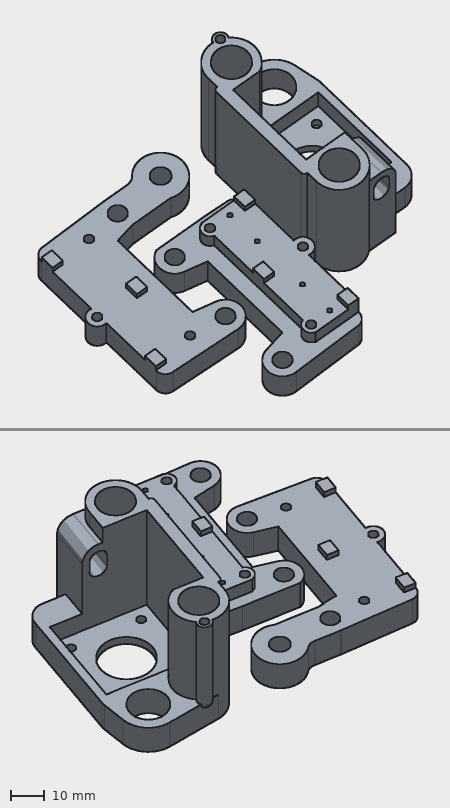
import cadquery as cq
import math

plate_thickness = 10.0
column_half_pitch = 24.5
pivot_offset_x = -2.0
pivot_offset_y = 18.45

carriage_height = 42.0
column_y = -10.5
column_radius = 9.0
column_bore_diameter = 12.2
pivot_boss_radius = 10.0
pivot_bore_diameter = 13.0
base_rear_y = 19.5
base_right_x = 26.3
base_corner_radius = 6.0
base_rear_left_x = -19.0
pad_half_width = 20.5
pad_front_y = -20.9
motor_pocket_size = 33.2
motor_floor_thickness = 3.0
motor_shaft_hole_diameter = 18.0
motor_screw_pitch = 24.0
motor_screw_diameter = 3.0
sleeve_x = -33.0
sleeve_y = -7.5
sleeve_radius = 2.5
sleeve_bore_diameter = 3.0
sleeve_bore_depth = 30.0
flange_right_x = 31.5
flange_radius = 5.5
flange_top_z = 36.0
slot_width = 6.0
slot_bottom_z = 23.0
slot_top_z = 33.0

leg_radius = 6.0
leg_hole_diameter = 6.0
bridge_y = 6.4
bridge_half_width = 17.0
plate_edge_y = 28.4
plate_edge_half_width = 29.6
plate_corner_radius = 3.5
lug_y = 29.0
lug_radius = 3.5
screw_half_pitch = 23.0
screw_y = 12.5
screw_hole_diameter = 3.1
tab_length = 5.0
tab_width = 4.0
tab_height = 2.0
seat_half_width = 26.0
seat_inner_y = 11.65

upper_plate_x = 25.5
upper_plate_y = -54.5
seat_height = 5.0
seat_boss_radius = 3.0
small_hole_y = 20.0
small_hole_depth = 5.0
outer_small_hole_x = 22.7
outer_small_hole_diameter = 1.6
inner_small_hole_x = 10.3
inner_small_hole_diameter = 1.5
relief_x = -29.95

lower_plate_x = 2.5
lower_plate_y = -57.0
pivot_eye_radius = 8.5
pivot_eye_hole_diameter = 6.5
eye_neck_radius = 4.0


def box(x_min, x_max, y_min, y_max, z_min, z_max):
    """Block between the given limits."""
    return (
        cq.Workplane("XY", origin=(x_min, y_min, z_min))
        .box(x_max - x_min, y_max - y_min, z_max - z_min, centered=False)
    )


def cylinder(x, y, radius, z_min, z_max):
    """Upright cylinder."""
    return cq.Workplane("XY", origin=(x, y, z_min)).circle(radius).extrude(z_max - z_min)


def web(first, first_radius, second, second_radius, height):
    """Two upright discs joined along their outer tangents."""
    dx = second[0] - first[0]
    dy = second[1] - first[1]
    along = math.atan2(dy, dx)
    spread = math.acos((first_radius - second_radius) / math.hypot(dx, dy))

    def rim(centre, radius, angle):
        return (centre[0] + radius * math.cos(angle), centre[1] + radius * math.sin(angle))

    body = (
        cq.Workplane("XY")
        .polyline([
            rim(first, first_radius, along + spread),
            rim(first, first_radius, along - spread),
            rim(second, second_radius, along - spread),
            rim(second, second_radius, along + spread),
        ])
        .close()
        .extrude(height)
    )
    for centre, radius in ((first, first_radius), (second, second_radius)):
        body = body.union(cylinder(*centre, radius, 0, height))
    return body


def tangent_point(point, centre, radius, side):
    """Where the tangent from a point touches a circle; side +1 or -1 picks which tangent."""
    dx = point[0] - centre[0]
    dy = point[1] - centre[1]
    angle = math.atan2(dy, dx) + side * math.acos(radius / math.hypot(dx, dy))
    return (centre[0] + radius * math.cos(angle), centre[1] + radius * math.sin(angle))


pivot = (-column_half_pitch + pivot_offset_x, column_y + pivot_offset_y)
left_column = (-column_half_pitch, column_y)
right_column = (column_half_pitch, column_y)
pocket_half = motor_pocket_size / 2
column_front_y = column_y - column_radius


def carriage_base():
    """Thick floor that reaches around the pivot bore."""
    rear_left = (base_rear_left_x, base_rear_y - base_corner_radius)
    floor = (
        box(base_rear_left_x, base_right_x, column_y, base_rear_y, 0, plate_thickness)
        .edges("|Z and >X and >Y")
        .fillet(base_corner_radius)
    )
    infill = (
        cq.Workplane("XY")
        .polyline([pivot, left_column, (base_rear_left_x, column_y), rear_left])
        .close()
        .extrude(plate_thickness)
    )
    return (
        floor.union(infill)
        .union(web(pivot, pivot_boss_radius, left_column, column_radius, plate_thickness))
        .union(web(pivot, pivot_boss_radius, rear_left, base_corner_radius, plate_thickness))
    )


def carriage_columns():
    """Both guide columns and the wall that joins them."""
    wall = box(-column_half_pitch, column_half_pitch, column_front_y, column_y, 0, carriage_height)
    right_block = box(
        pocket_half, column_half_pitch, column_y, column_y + column_radius, 0, carriage_height
    )
    pad = (
        box(-pad_half_width, pad_half_width, pad_front_y, column_y, 0, carriage_height)
        .edges("|Z and <Y")
        .fillet(column_front_y - pad_front_y)
    )
    columns = wall.union(right_block).union(pad)
    for centre in (left_column, right_column):
        columns = columns.union(cylinder(*centre, column_radius, 0, carriage_height))
    return columns


def slotted_flange():
    """Upright block with a rounded rear top edge, before its slot is cut."""
    return (
        box(pocket_half, flange_right_x, column_y, flange_radius, 0, flange_top_z)
        .edges("|X and >Y and >Z")
        .fillet(flange_radius)
    )


def flange_slot():
    """Cutter for the upright slot, on the motor axis plane."""
    return (
        cq.Workplane("YZ", origin=(pocket_half, 0, (slot_bottom_z + slot_top_z) / 2))
        .slot2D(slot_top_z - slot_bottom_z, slot_width, 90)
        .extrude(flange_right_x - pocket_half)
    )


def sleeve():
    """Sleeve beside the left column, with a round lower end."""
    tube = cylinder(sleeve_x, sleeve_y, sleeve_radius, plate_thickness, carriage_height)
    tip = cq.Workplane("XY", origin=(sleeve_x, sleeve_y, plate_thickness)).sphere(sleeve_radius)
    return tube.union(tip)


def motor_carriage():
    """Carriage with its motor pocket, bores and slot."""
    body = carriage_base().union(carriage_columns()).union(slotted_flange()).union(sleeve())
    body = body.cut(box(
        -pocket_half, pocket_half, -pocket_half, pocket_half, motor_floor_thickness, carriage_height
    ))
    body = body.cut(cylinder(0, 0, motor_shaft_hole_diameter / 2, 0, motor_floor_thickness))
    screw_offset = motor_screw_pitch / 2
    for x in (-screw_offset, screw_offset):
        for y in (-screw_offset, screw_offset):
            body = body.cut(cylinder(x, y, motor_screw_diameter / 2, 0, motor_floor_thickness))
    for centre in (left_column, right_column):
        body = body.cut(cylinder(*centre, column_bore_diameter / 2, 0, carriage_height))
    body = body.cut(cylinder(*pivot, pivot_bore_diameter / 2, 0, plate_thickness))
    body = body.cut(cylinder(
        sleeve_x, sleeve_y, sleeve_bore_diameter / 2,
        carriage_height - sleeve_bore_depth, carriage_height,
    ))
    return body.cut(flange_slot())


def clamp_plate():
    """Plate with two legs, without lug or holes."""
    leg = (column_half_pitch, 0)
    edge_corner = (plate_edge_half_width, plate_edge_y)
    bridge_corner = (bridge_half_width, bridge_y)
    outer_touch = tangent_point(edge_corner, leg, leg_radius, -1)
    inner_touch = tangent_point(bridge_corner, leg, leg_radius, 1)
    leg_tip = (column_half_pitch, -leg_radius)

    def mirrored(point):
        return (-point[0], point[1])

    return (
        cq.Workplane("XY")
        .moveTo(*edge_corner)
        .lineTo(*outer_touch)
        .threePointArc(leg_tip, inner_touch)
        .lineTo(*bridge_corner)
        .lineTo(*mirrored(bridge_corner))
        .lineTo(*mirrored(inner_touch))
        .threePointArc(mirrored(leg_tip), mirrored(outer_touch))
        .lineTo(*mirrored(edge_corner))
        .close()
        .extrude(plate_thickness)
        .edges("|Z and >Y")
        .fillet(plate_corner_radius)
    )


def tabs(seat_z):
    """Three locating tabs standing on the seat."""
    top_z = seat_z + tab_height
    edge_start = plate_edge_y - tab_width
    corner_start = seat_half_width - tab_length
    half_length = tab_length / 2
    middle = box(-half_length, half_length, seat_inner_y, seat_inner_y + tab_width, seat_z, top_z)
    left = box(-seat_half_width, -corner_start, edge_start, plate_edge_y, seat_z, top_z)
    right = box(corner_start, seat_half_width, edge_start, plate_edge_y, seat_z, top_z)
    return middle, left, right


def drill_clamp_holes(body, top_z):
    """Leg holes and the triangle of screw holes."""
    screws = ((-screw_half_pitch, screw_y), (screw_half_pitch, screw_y), (0, lug_y))
    for x in (-column_half_pitch, column_half_pitch):
        body = body.cut(cylinder(x, 0, leg_hole_diameter / 2, 0, plate_thickness))
    for x, y in screws:
        body = body.cut(cylinder(x, y, screw_hole_diameter / 2, 0, top_z))
    return body


def upper_plate():
    """Clamp plate with a raised seat."""
    seat_z = plate_thickness + seat_height
    body = clamp_plate().cut(
        box(relief_x - leg_radius, relief_x, -leg_radius, plate_edge_y, 0, plate_thickness)
    )
    body = body.union(box(
        -seat_half_width, seat_half_width, seat_inner_y, plate_edge_y, plate_thickness, seat_z
    ))
    body = body.union(cylinder(0, lug_y, lug_radius, 0, seat_z))
    for x in (-screw_half_pitch, screw_half_pitch):
        body = body.union(cylinder(x, screw_y, seat_boss_radius, plate_thickness, seat_z))
    for tab in tabs(seat_z):
        body = body.union(tab)
    body = drill_clamp_holes(body, seat_z)
    small_holes = (
        (outer_small_hole_x, outer_small_hole_diameter),
        (inner_small_hole_x, inner_small_hole_diameter),
    )
    for offset, diameter in small_holes:
        for x in (-offset, offset):
            body = body.cut(cylinder(x, small_hole_y, diameter / 2, seat_z - small_hole_depth, seat_z))
    return body.translate((upper_plate_x, upper_plate_y, 0))


def pivot_arm():
    """Arm that runs from the left leg out to the pivot eye, with a rounded neck."""
    eye_x = -column_half_pitch + pivot_offset_x
    eye_y = -pivot_offset_y
    arm_left = -column_half_pitch - leg_radius
    neck_y = eye_y + math.sqrt(pivot_eye_radius**2 - (arm_left - eye_x) ** 2)
    arm = box(
        arm_left, -column_half_pitch + leg_radius, eye_y, 0, 0, plate_thickness
    ).union(cylinder(eye_x, eye_y, pivot_eye_radius, 0, plate_thickness))
    neck = cq.selectors.NearestToPointSelector((arm_left, neck_y, plate_thickness / 2))
    return arm.edges("|Z").edges(neck).fillet(eye_neck_radius)


def lower_plate():
    """Flat clamp plate with the pivot arm."""
    eye = (-column_half_pitch + pivot_offset_x, -pivot_offset_y)
    body = clamp_plate().union(pivot_arm())
    body = body.union(cylinder(0, lug_y, lug_radius, 0, plate_thickness))
    for tab in tabs(plate_thickness):
        body = body.union(tab)
    body = drill_clamp_holes(body, plate_thickness)
    body = body.cut(cylinder(*eye, pivot_eye_hole_diameter / 2, 0, plate_thickness))
    return body.mirror("XZ").translate((lower_plate_x, lower_plate_y, 0))


result = cq.Compound.makeCompound([
    motor_carriage().val(),
    upper_plate().val(),
    lower_plate().val(),
])